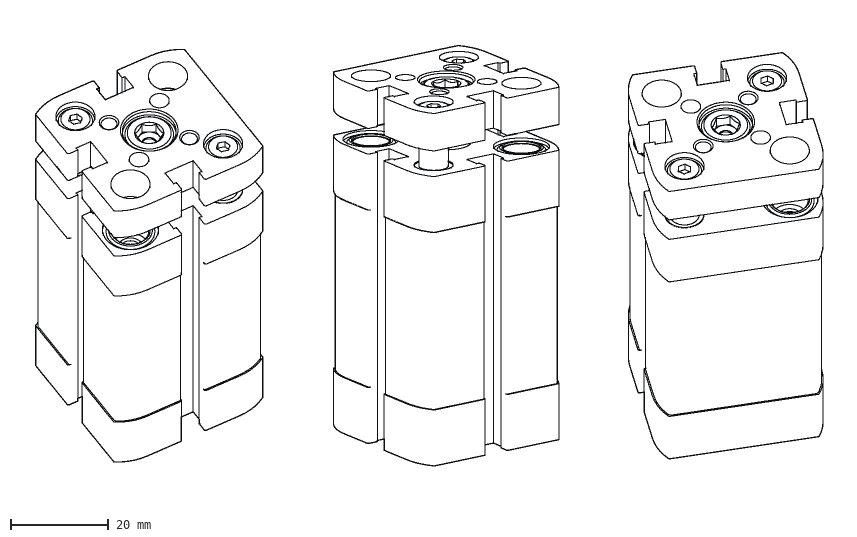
import cadquery as cq
import math


SIDE = 35.5
HEIGHT = 75.5

PLATE_THICKNESS = 8.0
PLATE_GAP = 5.5
CAP_HEIGHT = 12.0
PLATE_BOTTOM = HEIGHT - PLATE_THICKNESS
BODY_TOP = PLATE_BOTTOM - PLATE_GAP
BARREL_TOP = BODY_TOP - CAP_HEIGHT

ARCH_START = 11.0
ARCH_RADIUS = 12.0
CAP_CORNER_FILLET = 0.3
BARREL_CORNER_FILLET = 0.9
BARREL_INSET = 0.3

SLOT_ANGLES = (0, 180, 270)
SLOT_MOUTH = 5.4
SLOT_WIDTH = 6.7
SLOT_FLOOR = 11.9
SLOT_LIP = 2.35
SLOT_MOUTH_FILLET = 0.4
SLOT_OVERSHOOT = 0.75

GUIDE_OFFSET = 11.0
ROD_CORNERS = [(-GUIDE_OFFSET, -GUIDE_OFFSET), (GUIDE_OFFSET, GUIDE_OFFSET)]
SLEEVE_CORNERS = [(-GUIDE_OFFSET, GUIDE_OFFSET), (GUIDE_OFFSET, -GUIDE_OFFSET)]

ROD_DIAMETER = 6.05
ROD_SEAT_DIAMETER = 8.0
ROD_SEAT_DEPTH = 0.2
ROD_TIP_DIAMETER = 7.0
ROD_TIP_FLAT = 6.0
ROD_RECESS_DIAMETER = 8.0
ROD_SOCKET = 2.5
ROD_SOCKET_DEPTH = 1.5
ROD_SOCKET_ANGLE = 15.0

PISTON_DIAMETER = 10.0
PISTON_TIP_FLAT = 9.0
PISTON_FLATS = 9.0
FLATS_ABOVE_BODY = 1.05
PISTON_RECESS_DIAMETER = 11.0
PISTON_RECESS_RIM = 11.8
PISTON_SOCKET = 5.0
PISTON_SOCKET_RIM = 6.0
PISTON_SOCKET_DEPTH = 2.4
PISTON_DRILL_DIAMETER = 3.0
PISTON_DRILL_DEPTH = 0.4
DRILL_SLOPE = 0.6

TIP_DEPTH = 0.8

PLATE_HOLE_CIRCLE = 17.0
PLATE_HOLE_OFFSET = PLATE_HOLE_CIRCLE / 2 * math.sin(math.pi / 4)
DOWEL_DIAMETER = 4.0
THREAD_DIAMETER = 3.25
THREAD_RIM = 4.0
ACCESS_DIAMETER = 8.0

SLEEVE_RECESS = 11.5
SLEEVE_DIAMETER = 10.0
SLEEVE_TIP_FLAT = 9.0
SLEEVE_TIP_DEPTH = 0.2
SLEEVE_MOUTH = 8.0
SLEEVE_MOUTH_DEPTH = 0.4
SLEEVE_BORE = 7.5
SLEEVE_BORE_DEPTH = 5.3
THROUGH_HOLE = 4.15
THROUGH_HOLE_RIM = 5.0


def cylinder(x, y, diameter, bottom, top):
    return cq.Workplane("XY", origin=(x, y, bottom)).circle(diameter / 2).extrude(top - bottom)


def cone(x, y, bottom_diameter, bottom, top_diameter, top):
    """Cone frustum along Z; a bottom diameter of 0 makes it a pointed cone."""
    profile = [(bottom_diameter / 2, bottom), (top_diameter / 2, top), (0, top)]
    if bottom_diameter > 0:
        profile.append((0, bottom))
    turned = cq.Workplane("XZ").polyline(profile).close().revolve(360, (0, 0, 0), (0, 1, 0))
    return turned.translate((x, y, 0))


def countersink(x, y, hole, rim, top):
    """45 degree cone that widens a hole to its rim at the given level."""
    return cone(x, y, hole, top - (rim - hole) / 2, rim, top)


def hexagon(across_flats, bottom, top, angle=0):
    across_corners = across_flats / math.cos(math.pi / 6)
    prism = cq.Workplane("XY", origin=(0, 0, bottom)).polygon(6, across_corners)
    return prism.extrude(top - bottom).rotate((0, 0, 0), (0, 0, 1), angle)


def outline_block(inset, fillet, bottom, top):
    half = SIDE / 2 - inset
    radius = ARCH_RADIUS - inset

    def arch_x(y):
        return half - radius + math.sqrt(radius ** 2 - (y - ARCH_START) ** 2)

    corner = arch_x(half)
    middle_y = (ARCH_START + half) / 2
    middle = arch_x(middle_y)
    block = (
        cq.Workplane("XY", origin=(0, 0, bottom))
        .moveTo(half, -ARCH_START)
        .lineTo(half, ARCH_START)
        .threePointArc((middle, middle_y), (corner, half))
        .lineTo(-corner, half)
        .threePointArc((-middle, middle_y), (-half, ARCH_START))
        .lineTo(-half, -ARCH_START)
        .threePointArc((-middle, -middle_y), (-corner, -half))
        .lineTo(corner, -half)
        .threePointArc((middle, -middle_y), (half, -ARCH_START))
        .close()
        .extrude(top - bottom)
    )
    return block.faces("<Y or >Y").edges("|Z").fillet(fillet)


def t_slot(face, bottom, top):
    """T-slot cutter for the +X side, whose flat lies at x = face."""
    lip = SIDE / 2 - SLOT_LIP
    outside = face + SLOT_OVERSHOOT
    mouth = SLOT_MOUTH / 2
    half_width = SLOT_WIDTH / 2
    fillet = SLOT_MOUTH_FILLET
    return (
        cq.Workplane("XY", origin=(0, 0, bottom))
        .moveTo(SLOT_FLOOR, -half_width)
        .lineTo(lip, -half_width)
        .lineTo(lip, -mouth)
        .lineTo(face - fillet, -mouth)
        .radiusArc((face, -mouth - fillet), fillet)
        .lineTo(outside, -mouth - fillet)
        .lineTo(outside, mouth + fillet)
        .lineTo(face, mouth + fillet)
        .radiusArc((face - fillet, mouth), fillet)
        .lineTo(lip, mouth)
        .lineTo(lip, half_width)
        .lineTo(SLOT_FLOOR, half_width)
        .close()
        .extrude(top - bottom)
    )


def slotted_block(inset, fillet, bottom, top):
    block = outline_block(inset, fillet, bottom, top)
    cutter = t_slot(SIDE / 2 - inset, bottom, top)
    for angle in SLOT_ANGLES:
        block = block.cut(cutter.rotate((0, 0, 0), (0, 0, 1), angle))
    return block


def add_sleeve(body, x, y):
    """Bearing sleeve in a ring-shaped recess, with a hole through the whole body."""
    tip = BODY_TOP - SLEEVE_TIP_DEPTH
    recess_floor = tip - (SLEEVE_DIAMETER - SLEEVE_TIP_FLAT) / 2
    bore_floor = BODY_TOP - SLEEVE_BORE_DEPTH
    body = body.cut(cylinder(x, y, SLEEVE_RECESS, recess_floor, BODY_TOP))
    body = body.union(cone(x, y, SLEEVE_DIAMETER, recess_floor, SLEEVE_TIP_FLAT, tip))
    body = body.cut(cylinder(x, y, SLEEVE_MOUTH, tip - SLEEVE_MOUTH_DEPTH, tip))
    body = body.cut(cylinder(x, y, SLEEVE_BORE, bore_floor, tip))
    body = body.cut(countersink(x, y, THROUGH_HOLE, THROUGH_HOLE_RIM, bore_floor))
    return body.cut(cylinder(x, y, THROUGH_HOLE, 0, bore_floor))


def make_body():
    body = slotted_block(0, CAP_CORNER_FILLET, 0, CAP_HEIGHT)
    body = body.union(slotted_block(BARREL_INSET, BARREL_CORNER_FILLET, CAP_HEIGHT, BARREL_TOP))
    body = body.union(slotted_block(0, CAP_CORNER_FILLET, BARREL_TOP, BODY_TOP))

    body = body.cut(cylinder(0, 0, PISTON_DIAMETER, BARREL_TOP, BODY_TOP))
    for x, y in ROD_CORNERS:
        body = body.cut(cylinder(x, y, ROD_DIAMETER, BARREL_TOP, BODY_TOP))
        body = body.cut(cylinder(x, y, ROD_SEAT_DIAMETER, BODY_TOP - ROD_SEAT_DEPTH, BODY_TOP))

    for x, y in SLEEVE_CORNERS:
        body = add_sleeve(body, x, y)
    return body


def add_piston_rod(slide):
    tip = HEIGHT - TIP_DEPTH
    recess_floor = tip - (PISTON_DIAMETER - PISTON_TIP_FLAT) / 2

    flats_bottom = BODY_TOP + FLATS_ABOVE_BODY
    flats = cq.Workplane("XY", origin=(0, 0, flats_bottom)).rect(SIDE, PISTON_FLATS)
    flatted = cylinder(0, 0, PISTON_DIAMETER, flats_bottom, PLATE_BOTTOM)
    flatted = flatted.intersect(flats.extrude(PLATE_BOTTOM - flats_bottom))
    slide = slide.union(cylinder(0, 0, PISTON_DIAMETER, BARREL_TOP, flats_bottom))
    slide = slide.union(flatted)

    slide = slide.cut(cylinder(0, 0, PISTON_RECESS_DIAMETER, recess_floor, HEIGHT))
    slide = slide.cut(countersink(0, 0, PISTON_RECESS_DIAMETER, PISTON_RECESS_RIM, HEIGHT))
    slide = slide.union(cone(0, 0, PISTON_DIAMETER, recess_floor, PISTON_TIP_FLAT, tip))

    socket_floor = tip - PISTON_SOCKET_DEPTH
    drill_top = socket_floor - DRILL_SLOPE * (PISTON_SOCKET - PISTON_DRILL_DIAMETER) / 2
    drill_bottom = drill_top - PISTON_DRILL_DEPTH
    drill_point = drill_bottom - DRILL_SLOPE * PISTON_DRILL_DIAMETER / 2
    slide = slide.cut(countersink(0, 0, PISTON_SOCKET, PISTON_SOCKET_RIM, tip))
    slide = slide.cut(hexagon(PISTON_SOCKET, socket_floor, tip))
    slide = slide.cut(cone(0, 0, PISTON_DRILL_DIAMETER, drill_top, PISTON_SOCKET, socket_floor))
    slide = slide.cut(cylinder(0, 0, PISTON_DRILL_DIAMETER, drill_bottom, drill_top))
    return slide.cut(cone(0, 0, 0, drill_point, PISTON_DRILL_DIAMETER, drill_bottom))


def add_guide_rod(slide, x, y):
    tip = HEIGHT - TIP_DEPTH
    recess_floor = tip - (ROD_TIP_DIAMETER - ROD_TIP_FLAT) / 2
    socket = hexagon(ROD_SOCKET, tip - ROD_SOCKET_DEPTH, tip, ROD_SOCKET_ANGLE)
    slide = slide.union(cylinder(x, y, ROD_DIAMETER, BARREL_TOP, PLATE_BOTTOM))
    slide = slide.cut(cylinder(x, y, ROD_RECESS_DIAMETER, recess_floor, HEIGHT))
    slide = slide.union(cone(x, y, ROD_TIP_DIAMETER, recess_floor, ROD_TIP_FLAT, tip))
    return slide.cut(socket.translate((x, y, 0)))


def cut_plate_holes(slide):
    for x, y in SLEEVE_CORNERS:
        slide = slide.cut(cylinder(x, y, ACCESS_DIAMETER, PLATE_BOTTOM, HEIGHT))

    for offset in (-PLATE_HOLE_OFFSET, PLATE_HOLE_OFFSET):
        slide = slide.cut(cylinder(-offset, offset, DOWEL_DIAMETER, PLATE_BOTTOM, HEIGHT))
        slide = slide.cut(cylinder(offset, offset, THREAD_DIAMETER, PLATE_BOTTOM, HEIGHT))
        slide = slide.cut(countersink(offset, offset, THREAD_DIAMETER, THREAD_RIM, HEIGHT))
    return slide


def make_slide():
    slide = slotted_block(0, CAP_CORNER_FILLET, PLATE_BOTTOM, HEIGHT)
    slide = add_piston_rod(slide)
    for x, y in ROD_CORNERS:
        slide = add_guide_rod(slide, x, y)
    return cut_plate_holes(slide)


body = make_body()
slide = make_slide()
result = cq.Compound.makeCompound([body.solids().val(), slide.solids().val()])